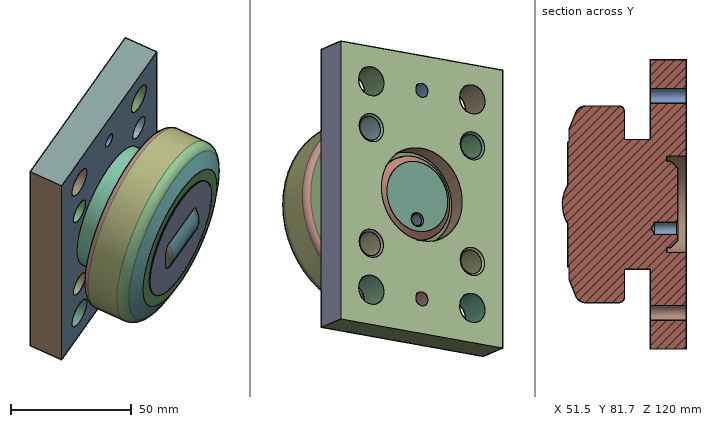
import cadquery as cq
import math

PLATE_THICKNESS = 15.0
PLATE_WIDTH = 80.0
PLATE_HEIGHT = 120.0

HOLE_HALF_SPACING = 25.0
OUTER_ROW_HEIGHT = 45.0
CLEARANCE_DIAMETER = 12.5
DOWEL_DIAMETER = 6.0
TAPPED_DIAMETER = 10.2
TAPPED_MOUTH_DIAMETER = 12.0

RECESS_DIAMETER = 40.0
RECESS_DEPTH = 8.0
STUD_FACE = 3.5
STUD_DIAMETER = 36.0
STUD_CHAMFER = 3.0

STUD_HOLE_DROP = 10.0
STUD_HOLE_DIAMETER = 4.9
STUD_HOLE_MOUTH_DIAMETER = 6.0
STUD_HOLE_DEPTH = 9.6
DRILL_POINT_ANGLE = 118.0

NECK_RADIUS = 27.0
ROLLER_RADIUS = 81.7 / 2
ROLLER_BACK = 25.5
ROLLER_BACK_FILLET = 2.5
ROLLER_RIM_END = 41.8
ROLLER_FRONT = 48.7
FRONT_DISC_FACE = 49.2
FRONT_DISC_RADIUS = 25.9
SHOULDER_RADIUS = 4.5
SHOULDER_SWEEP = math.radians(68)

OVERALL_DEPTH = 51.5
SIDE_ROLLER_RADIUS = 15.0
SIDE_ROLLER_LENGTH = 26.2
SIDE_ROLLER_FILLET = 2.5


def x_cylinder(diameter, start, length, y=0, z=0):
    """Cylinder running in +X from X = start."""
    return cq.Workplane("YZ", origin=(start, y, z)).circle(diameter / 2).extrude(length)


def mouth_cone(mouth_diameter, hole_diameter, start, y, z):
    """45 degree countersink narrowing in +X from a hole mouth."""
    mouth_radius = mouth_diameter / 2
    hole_radius = hole_diameter / 2
    depth = mouth_radius - hole_radius
    cone = cq.Solid.makeCone(mouth_radius, hole_radius, depth, cq.Vector(start, y, z), cq.Vector(1, 0, 0))
    return cq.Workplane(obj=cone)


def make_plate():
    plate = cq.Workplane("XY").box(PLATE_THICKNESS, PLATE_WIDTH, PLATE_HEIGHT, centered=(False, True, True))
    for side_z in (-1, 1):
        outer_z = side_z * OUTER_ROW_HEIGHT
        inner_z = side_z * HOLE_HALF_SPACING
        plate = plate.cut(x_cylinder(DOWEL_DIAMETER, 0, PLATE_THICKNESS, 0, outer_z))
        for side_y in (-1, 1):
            y = side_y * HOLE_HALF_SPACING
            plate = plate.cut(x_cylinder(CLEARANCE_DIAMETER, 0, PLATE_THICKNESS, y, outer_z))
            plate = plate.cut(x_cylinder(TAPPED_DIAMETER, 0, PLATE_THICKNESS, y, inner_z))
            plate = plate.cut(mouth_cone(TAPPED_MOUTH_DIAMETER, TAPPED_DIAMETER, 0, y, inner_z))
    return plate


def cut_stud_recess(body):
    """Sink the recess, leaving the chamfered stud end standing on its floor."""
    stud = x_cylinder(STUD_DIAMETER, STUD_FACE, RECESS_DEPTH - STUD_FACE)
    stud = stud.faces("<X").chamfer(STUD_CHAMFER)
    body = body.cut(x_cylinder(RECESS_DIAMETER, 0, RECESS_DEPTH)).union(stud)

    hole_end = STUD_FACE + STUD_HOLE_DEPTH
    hole_radius = STUD_HOLE_DIAMETER / 2
    point_length = hole_radius / math.tan(math.radians(DRILL_POINT_ANGLE / 2))
    drill_point = cq.Solid.makeCone(
        hole_radius, 0, point_length, cq.Vector(hole_end, 0, -STUD_HOLE_DROP), cq.Vector(1, 0, 0)
    )
    body = body.cut(x_cylinder(STUD_HOLE_DIAMETER, STUD_FACE, STUD_HOLE_DEPTH, 0, -STUD_HOLE_DROP))
    body = body.cut(cq.Workplane(obj=drill_point))
    return body.cut(mouth_cone(STUD_HOLE_MOUTH_DIAMETER, STUD_HOLE_DIAMETER, STUD_FACE, 0, -STUD_HOLE_DROP))


def make_main_roller():
    """Rounded roller whose shoulder arc runs tangentially into a conical front."""
    shoulder_x = ROLLER_RIM_END + SHOULDER_RADIUS * math.sin(SHOULDER_SWEEP)
    shoulder_r = ROLLER_RADIUS - SHOULDER_RADIUS * (1 - math.cos(SHOULDER_SWEEP))
    cone_end_r = shoulder_r - (ROLLER_FRONT - shoulder_x) * math.tan(SHOULDER_SWEEP)
    return (
        cq.Workplane("XY")
        .moveTo(ROLLER_BACK, 0)
        .lineTo(ROLLER_BACK, ROLLER_RADIUS - ROLLER_BACK_FILLET)
        .radiusArc((ROLLER_BACK + ROLLER_BACK_FILLET, ROLLER_RADIUS), ROLLER_BACK_FILLET)
        .lineTo(ROLLER_RIM_END, ROLLER_RADIUS)
        .radiusArc((shoulder_x, shoulder_r), SHOULDER_RADIUS)
        .lineTo(ROLLER_FRONT, cone_end_r)
        .lineTo(ROLLER_FRONT, FRONT_DISC_RADIUS)
        .lineTo(FRONT_DISC_FACE, FRONT_DISC_RADIUS)
        .lineTo(FRONT_DISC_FACE, 0)
        .close()
        .revolve(360, (0, 0, 0), (1, 0, 0))
    )


def make_side_roller():
    return (
        cq.Workplane("XZ", origin=(OVERALL_DEPTH - SIDE_ROLLER_RADIUS, 0, 0))
        .circle(SIDE_ROLLER_RADIUS)
        .extrude(SIDE_ROLLER_LENGTH / 2, both=True)
        .edges()
        .fillet(SIDE_ROLLER_FILLET)
    )


neck = x_cylinder(2 * NECK_RADIUS, PLATE_THICKNESS, ROLLER_BACK - PLATE_THICKNESS)
body = make_plate().union(neck).union(make_main_roller()).union(make_side_roller())
result = cut_stud_recess(body)